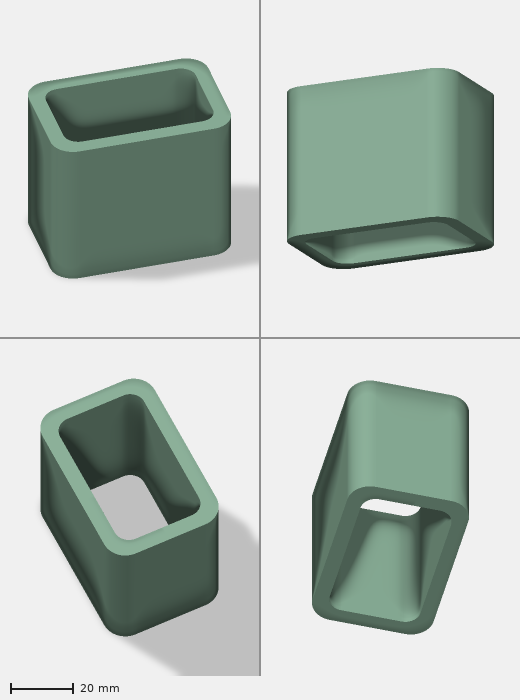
import cadquery as cq

width = 40.0
depth = 60.0
height = 50.0

wall = 5.0
outer_radius = 7.5
inner_radius = 5.0


def rounded_block(size_x, size_y, corner_radius):
    """Upright block with rounded vertical edges, standing on Z = 0."""
    block = cq.Workplane("XY").rect(size_x, size_y).extrude(height)
    return block.edges("|Z").fillet(corner_radius)


outer_body = rounded_block(width, depth, outer_radius)
through_opening = rounded_block(width - 2 * wall, depth - 2 * wall, inner_radius)

result = outer_body.cut(through_opening)